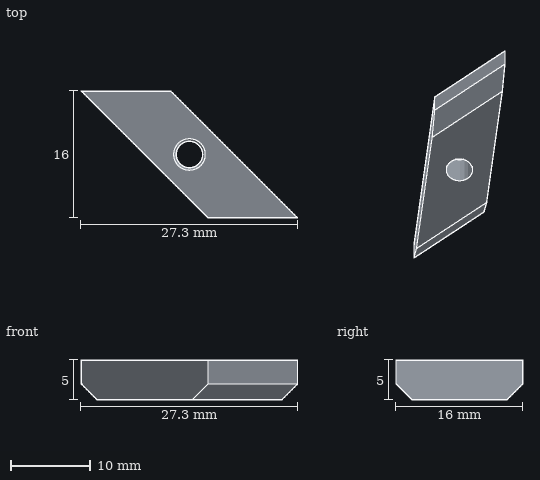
import cadquery as cq
import math

length = 27.3
width = 16.0
height = 5.0

end_edge = length - width

bevel = 2.0

hole_diameter = 3.3
mouth_diameter = 4.0
mouth_angle = 120.0
mouth_depth = (mouth_diameter - hole_diameter) / 2 / math.tan(math.radians(mouth_angle / 2))


def rhomboid_plate():
    corners = [
        (-length / 2, width / 2),
        (-length / 2 + end_edge, width / 2),
        (length / 2, -width / 2),
        (length / 2 - end_edge, -width / 2),
    ]
    return cq.Workplane("XY").polyline(corners).close().extrude(height)


def bevelled_bar():
    """Bar along X whose lower long edges are bevelled at 45 degrees."""
    return (
        cq.Workplane("XY")
        .box(length, width, height, centered=(True, True, False))
        .edges("|X and <Z")
        .chamfer(bevel)
    )


def countersunk_hole():
    bore = cq.Workplane("XY").circle(hole_diameter / 2).extrude(height)
    mouth = cq.Solid.makeCone(
        hole_diameter / 2,
        mouth_diameter / 2,
        mouth_depth,
        pnt=cq.Vector(0, 0, height - mouth_depth),
    )
    return bore.union(cq.Workplane(mouth))


result = rhomboid_plate().intersect(bevelled_bar()).cut(countersunk_hole())